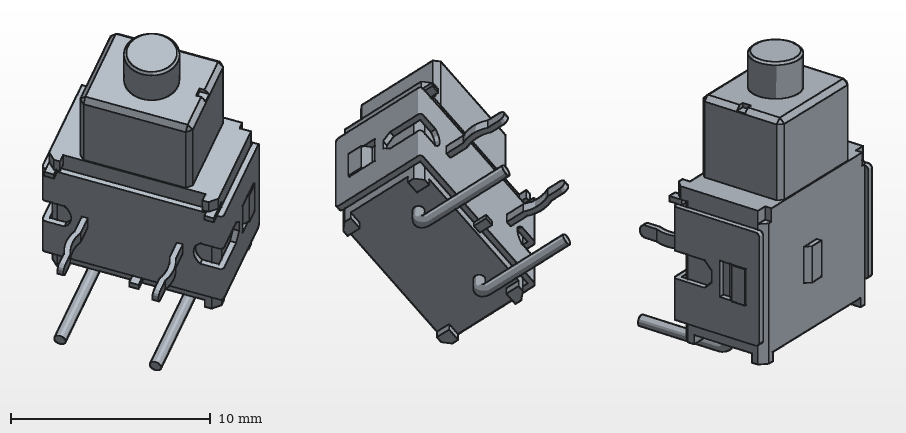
import cadquery as cq
import math

TOTAL_HEIGHT = 16.21
TOTAL_WIDTH = 9.8
TOTAL_DEPTH = 9.27

BODY_HALF_X = 4.5
BODY_HALF_Y = 2.55
CORNER_CHAMFER = 0.39
BASE_Z = 1.62
FOOT_BOTTOM_Z = 1.1
FOOT_SIZE = 0.76
FLANGE_TOP_Z = 9.7
FLANGE_Z = 8.95
FLANGE_FRONT_Y = -3.0
FLANGE_HALF_GAP = 3.8
REAR_NOTCH_X = 0.62
REAR_NOTCH_Y = 0.39

CAP_X = 6.0
CAP_Y = 5.0
CAP_TOP_Z = 14.2
CAP_CHAMFER = 0.28
MARK_SIZE = 0.5
MARK_CENTER_X = 2.7
MARK_DEPTH = 0.25
BUTTON_DIAMETER = 2.79
BUTTON_CHAMFER = 0.13

SHEET = 0.32
FRONT_SHEET = 0.29
BRACKET_BOTTOM_Z = 2.32
BRACKET_TOP_Z = 8.64
BRACKET_REAR_Y = 2.48
BRACKET_BEND_RADIUS = 0.18
BRACKET_REAR_RADIUS = 0.25
BRACKET_HALF_X = BODY_HALF_X + SHEET
BRACKET_FRONT_Y = -BODY_HALF_Y - FRONT_SHEET

LATCH_Z = 5.41
CUTOUT_HEIGHT = 1.54
CUTOUT_REAR_Y = -0.47
CUTOUT_CHAMFER = 0.44
CUTOUT_INNER_X = 3.26
CUTOUT_ARC_RISE = 0.35

LATCH_HEIGHT = 2.03
LATCH_LENGTH = 0.81
SIDE_LATCH_REACH = TOTAL_WIDTH / 2 - BODY_HALF_X
SIDE_LATCH_REAR_Y = 1.64
WINDOW_FRONT_Y = 0.03
REAR_LATCH_REACH = 0.29

TAB_WIDTH = 0.5
TAB_FRONT_Y = -3.3
LOWER_TAB_HEIGHT = 0.32

LEAD_TIP_Y = BODY_HALF_Y + REAR_LATCH_REACH - TOTAL_DEPTH
TERMINAL_INNER_X = 2.37
TERMINAL_THICKNESS = 0.32
TERMINAL_HEIGHT = 0.7
TERMINAL_TIP_RADIUS = 0.34
KINK_START_Y = -3.87
KINK_END_Y = -5.4
KINK_DEPTH = 0.16
PIN_DIAMETER = 0.62
PIN_X = 2.55
PIN_Y = -0.99
PIN_BEND_RADIUS = 0.6


def box(x_range, y_range, z_range):
    """Axis-aligned box between the given coordinate pairs."""
    size = [high - low for low, high in (x_range, y_range, z_range)]
    corner = (x_range[0], y_range[0], z_range[0])
    return cq.Workplane("XY").box(*size, centered=False).translate(corner)


def mirror_x(shape):
    """Copy of the shape on the opposite X side."""
    return shape.mirror("YZ")


def make_latch(reach):
    """Latch rising along +Y from the origin, flat at the -X end and sloped 45 degrees at the +X end."""
    outline = [(0, 0), (0, reach), (LATCH_LENGTH, reach), (LATCH_LENGTH + reach, 0)]
    latch = cq.Workplane("XY").polyline(outline).close().extrude(LATCH_HEIGHT)
    return latch.translate((0, 0, LATCH_Z - LATCH_HEIGHT / 2))


def make_body_block():
    """Chamfered block with four corner feet and clearance for the bracket below the top flange."""
    block = box((-BODY_HALF_X, BODY_HALF_X), (-BODY_HALF_Y, BODY_HALF_Y), (FOOT_BOTTOM_Z, FLANGE_TOP_Z))
    block = block.edges("|Z").chamfer(CORNER_CHAMFER)
    foot_gap_x = BODY_HALF_X - FOOT_SIZE
    foot_gap_y = BODY_HALF_Y - FOOT_SIZE
    gap_z = (FOOT_BOTTOM_Z, BASE_Z)
    block = block.cut(box((-foot_gap_x, foot_gap_x), (-BODY_HALF_Y, BODY_HALF_Y), gap_z))
    return block.cut(box((-BODY_HALF_X, BODY_HALF_X), (-foot_gap_y, foot_gap_y), gap_z))


def make_flange():
    """Top flange with two forward corners and two notched rear corners."""
    flange_z = (FLANGE_Z, FLANGE_TOP_Z)
    flange = box((-BODY_HALF_X, BODY_HALF_X), (FLANGE_FRONT_Y, BODY_HALF_Y), flange_z)
    flange = flange.edges("|Z and <Y").chamfer(CORNER_CHAMFER)
    gap_x = (-FLANGE_HALF_GAP, FLANGE_HALF_GAP)
    return flange.cut(box(gap_x, (FLANGE_FRONT_Y, -BODY_HALF_Y), flange_z))


def make_rear_notch():
    """Square notch in the -X rear corner of the flange."""
    notch_x = (-BODY_HALF_X, -BODY_HALF_X + REAR_NOTCH_X)
    notch_y = (BODY_HALF_Y - REAR_NOTCH_Y, BODY_HALF_Y)
    return box(notch_x, notch_y, (FLANGE_Z, FLANGE_TOP_Z))


def make_cap():
    """Chamfered cap with a small open recess in its +X top edge."""
    cap = box((-CAP_X / 2, CAP_X / 2), (-CAP_Y / 2, CAP_Y / 2), (FLANGE_TOP_Z, CAP_TOP_Z))
    cap = cap.edges("|Z or >Z").chamfer(CAP_CHAMFER)
    mark_x = (MARK_CENTER_X - MARK_SIZE / 2, CAP_X / 2)
    mark = box(mark_x, (-MARK_SIZE / 2, MARK_SIZE / 2), (CAP_TOP_Z - MARK_DEPTH, CAP_TOP_Z))
    return cap.cut(mark)


def make_button():
    """Round push button above the cap."""
    button = cq.Workplane("XY", origin=(0, 0, CAP_TOP_Z)).circle(BUTTON_DIAMETER / 2)
    button = button.extrude(TOTAL_HEIGHT - CAP_TOP_Z)
    return button.faces(">Z").chamfer(BUTTON_CHAMFER)


def make_housing():
    """Housing with flange, cap, button, latches and bracket stop tabs."""
    housing = make_body_block().union(make_flange())
    notch = make_rear_notch()
    housing = housing.cut(notch).cut(mirror_x(notch))
    housing = housing.union(make_cap()).union(make_button())

    rear_latch = make_latch(REAR_LATCH_REACH).translate((0, BODY_HALF_Y, 0))
    side_latch = make_latch(SIDE_LATCH_REACH).rotate((0, 0, 0), (0, 0, 1), -90)
    side_latch = side_latch.translate((BODY_HALF_X, SIDE_LATCH_REAR_Y, 0))
    housing = housing.union(rear_latch).union(side_latch).union(mirror_x(side_latch))

    tab_y = (TAB_FRONT_Y, -BODY_HALF_Y)
    upper_tab = box((BODY_HALF_X - TAB_WIDTH, BODY_HALF_X), tab_y, (BRACKET_TOP_Z, FLANGE_Z))
    lower_tab = box((0, TAB_WIDTH), tab_y, (BRACKET_BOTTOM_Z - LOWER_TAB_HEIGHT, BRACKET_BOTTOM_Z))
    return housing.union(upper_tab).union(mirror_x(upper_tab)).union(lower_tab)


def make_side_cutout():
    """Opening in the +X wall, with chamfered rear corners, reaching past the front wall."""
    half_height = CUTOUT_HEIGHT / 2
    cutout = box(
        (BODY_HALF_X, BRACKET_HALF_X),
        (BRACKET_FRONT_Y, CUTOUT_REAR_Y),
        (LATCH_Z - half_height, LATCH_Z + half_height),
    )
    return cutout.edges("|X and >Y").chamfer(CUTOUT_CHAMFER)


def make_front_cutout():
    """Opening in the front wall at its +X end, closed by an arc on the inner side."""
    half_height = CUTOUT_HEIGHT / 2
    arc_start_x = CUTOUT_INNER_X + CUTOUT_ARC_RISE
    return (
        cq.Workplane("XZ", origin=(0, -BODY_HALF_Y, LATCH_Z))
        .moveTo(BRACKET_HALF_X, -half_height)
        .lineTo(arc_start_x, -half_height)
        .threePointArc((CUTOUT_INNER_X, 0), (arc_start_x, half_height))
        .lineTo(BRACKET_HALF_X, half_height)
        .close()
        .extrude(FRONT_SHEET)
    )


def make_terminal():
    """Flat terminal on the +X side with an outward kink and a round tip."""
    inner_x = TERMINAL_INNER_X
    outer_x = TERMINAL_INNER_X + TERMINAL_THICKNESS
    kink_middle_y = (KINK_START_Y + KINK_END_Y) / 2
    bottom_z = LATCH_Z - TERMINAL_HEIGHT / 2
    terminal = (
        cq.Workplane("XY", origin=(0, 0, bottom_z))
        .moveTo(inner_x, BRACKET_FRONT_Y)
        .lineTo(inner_x, KINK_START_Y)
        .threePointArc((inner_x + KINK_DEPTH, kink_middle_y), (inner_x, KINK_END_Y))
        .lineTo(inner_x, LEAD_TIP_Y)
        .lineTo(outer_x, LEAD_TIP_Y)
        .lineTo(outer_x, KINK_END_Y)
        .threePointArc((outer_x + KINK_DEPTH, kink_middle_y), (outer_x, KINK_START_Y))
        .lineTo(outer_x, BRACKET_FRONT_Y)
        .close()
        .extrude(TERMINAL_HEIGHT)
    )
    return terminal.edges("|X and <Y").fillet(TERMINAL_TIP_RADIUS)


def make_bracket():
    """U-shaped bracket with latch windows, corner cutouts and two flat terminals."""
    bracket_z = (BRACKET_BOTTOM_Z, BRACKET_TOP_Z)
    bracket = box((-BRACKET_HALF_X, BRACKET_HALF_X), (BRACKET_FRONT_Y, BRACKET_REAR_Y), bracket_z)
    bracket = bracket.edges("|Z and <Y").fillet(BRACKET_BEND_RADIUS)
    bracket = bracket.edges("|X and >Y").fillet(BRACKET_REAR_RADIUS)
    bracket = bracket.cut(box((-BODY_HALF_X, BODY_HALF_X), (-BODY_HALF_Y, BRACKET_REAR_Y), bracket_z))

    window = box(
        (-BRACKET_HALF_X, BRACKET_HALF_X),
        (WINDOW_FRONT_Y, SIDE_LATCH_REAR_Y),
        (LATCH_Z - LATCH_HEIGHT / 2, LATCH_Z + LATCH_HEIGHT / 2),
    )
    bracket = bracket.cut(window)
    for cutout in (make_side_cutout(), make_front_cutout()):
        bracket = bracket.cut(cutout).cut(mirror_x(cutout))

    terminal = make_terminal()
    return bracket.union(terminal).union(mirror_x(terminal))


def make_pin(x):
    """Round pin that leaves the housing base downward and bends toward -Y."""
    axis_z = PIN_DIAMETER / 2
    bend_z = axis_z + PIN_BEND_RADIUS
    bend_y = PIN_Y - PIN_BEND_RADIUS
    bend_offset = PIN_BEND_RADIUS * math.sqrt(0.5)
    path = (
        cq.Workplane("YZ", origin=(x, 0, 0))
        .moveTo(PIN_Y, BASE_Z)
        .lineTo(PIN_Y, bend_z)
        .threePointArc((bend_y + bend_offset, bend_z - bend_offset), (bend_y, axis_z))
        .lineTo(LEAD_TIP_Y, axis_z)
    )
    return cq.Workplane("XY", origin=(x, PIN_Y, BASE_Z)).circle(PIN_DIAMETER / 2).sweep(path)


housing = make_housing()
bracket = make_bracket()
pins = [make_pin(x) for x in (-PIN_X, PIN_X)]

result = cq.Compound.makeCompound([housing.val(), bracket.val(), *[pin.val() for pin in pins]])